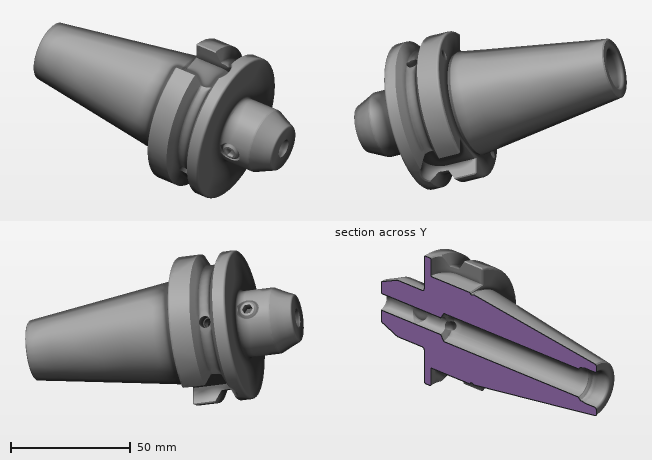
import cadquery as cq
import math

SHANK_LENGTH = 65.4
NOSE_END = 50.0
GAUGE_DIAMETER = 44.45
TAPER_RATIO = 7 / 24
SHANK_END_CHAMFER = 0.5

RELIEF_START = 0.4
RELIEF_FLOOR_START = 1.3
RELIEF_RADIUS = 21.8

FLANGE_BACK = 1.9
FLANGE_FRONT = 27.0
FLANGE_RADIUS = 31.5
FLANGE_FILLET = 1.0
GROOVE_CENTER = 16.6
GROOVE_WIDTH = 10.0
GROOVE_BACK = GROOVE_CENTER - GROOVE_WIDTH / 2
GROOVE_FRONT = GROOVE_CENTER + GROOVE_WIDTH / 2
GROOVE_FLOOR_RADIUS = 26.5
GROOVE_WALL_ANGLE = 30.0
GROOVE_FILLET = 0.8

NOSE_RADIUS = 14.0
NOSE_CONE_START = 41.2
NOSE_CONE_ANGLE = 25.0
NOSE_BASE_FILLET = 1.0
NOSE_EDGE_FILLET = 1.0
NOSE_SHOULDER_FILLET = 1.5

SLOT_WIDTH = 16.1
SLOT_FLOOR = 22.6
SLOT_END = 23.1
SLOT_CHAMFER = 0.5

TOOL_BORE_RADIUS = 4.0
COUNTERBORE_RADIUS = 8.5
COUNTERBORE_DEPTH = 6.5
COUNTERBORE_MOUTH_FILLET = 1.1
LEAD_RADIUS = 8.1
LEAD_START_DEPTH = 7.5
LEAD_END_DEPTH = 8.5
COUNTERSINK_RADIUS = 7.1
THREAD_RADIUS = 6.8
CENTER_BORE_END = 16.3
DRILL_POINT_ANGLE = 118.0

COOLANT_AZIMUTH = 20.0
RADIAL_HOLE_DIAMETER = 4.0
RADIAL_MOUTH_DIAMETER = 5.0
RADIAL_STEP_RADIUS = 20.0
FACE_HOLE_DIAMETER = 4.0
FACE_HOLE_RADIUS = 26.9
FACE_HOLE_ANGLE = 40.0

SCREW_X = 32.0
SCREW_DIRECTION = cq.Vector(0, -1, 0)
SCREW_DIAMETER = 8.0
SCREW_HOLE_COUNTERSINK = 1.0
SCREW_TOP = NOSE_RADIUS
SCREW_CHAMFER = 1.0
SOCKET_ACROSS_FLATS = 4.0
SOCKET_DEPTH = 4.0

TOLERANCE = 0.01


def tan_degrees(angle):
    return math.tan(math.radians(angle))


def taper_radius(x):
    return GAUGE_DIAMETER / 2 + x * TAPER_RATIO / 2


def revolve_about_x(outline):
    return outline.close().revolve(360, (0, 0, 0), (1, 0, 0))


def edges_at(body, x, radius):
    """Select the circular edges around the X axis at this station and radius."""

    def on_circle(edge):
        point = edge.startPoint()
        edge_radius = math.hypot(point.y, point.z)
        return abs(point.x - x) < TOLERANCE and abs(edge_radius - radius) < TOLERANCE

    return body.newObject([edge for edge in body.edges().vals() if on_circle(edge)])


def make_outer_form():
    wall_run = (FLANGE_RADIUS - GROOVE_FLOOR_RADIUS) * tan_degrees(GROOVE_WALL_ANGLE)
    floor_back = GROOVE_BACK + wall_run
    floor_front = GROOVE_FRONT - wall_run
    nose_end_radius = NOSE_RADIUS - (NOSE_END - NOSE_CONE_START) * tan_degrees(NOSE_CONE_ANGLE)

    outline = (
        cq.Workplane("XZ")
        .moveTo(-SHANK_LENGTH, 0)
        .lineTo(-SHANK_LENGTH, taper_radius(-SHANK_LENGTH))
        .lineTo(RELIEF_START, taper_radius(RELIEF_START))
        .lineTo(RELIEF_FLOOR_START, RELIEF_RADIUS)
        .lineTo(FLANGE_BACK, RELIEF_RADIUS)
        .lineTo(FLANGE_BACK, FLANGE_RADIUS)
        .lineTo(GROOVE_BACK, FLANGE_RADIUS)
        .lineTo(floor_back, GROOVE_FLOOR_RADIUS)
        .lineTo(floor_front, GROOVE_FLOOR_RADIUS)
        .lineTo(GROOVE_FRONT, FLANGE_RADIUS)
        .lineTo(FLANGE_FRONT, FLANGE_RADIUS)
        .lineTo(FLANGE_FRONT, NOSE_RADIUS)
        .lineTo(NOSE_CONE_START, NOSE_RADIUS)
        .lineTo(NOSE_END, nose_end_radius)
        .lineTo(NOSE_END, 0)
    )
    body = revolve_about_x(outline)
    body = edges_at(body, -SHANK_LENGTH, taper_radius(-SHANK_LENGTH)).chamfer(SHANK_END_CHAMFER)
    for x, radius, size in (
        (FLANGE_BACK, FLANGE_RADIUS, FLANGE_FILLET),
        (FLANGE_FRONT, FLANGE_RADIUS, FLANGE_FILLET),
        (floor_back, GROOVE_FLOOR_RADIUS, GROOVE_FILLET),
        (floor_front, GROOVE_FLOOR_RADIUS, GROOVE_FILLET),
        (FLANGE_FRONT, NOSE_RADIUS, NOSE_BASE_FILLET),
        (NOSE_CONE_START, NOSE_RADIUS, NOSE_SHOULDER_FILLET),
        (NOSE_END, nose_end_radius, NOSE_EDGE_FILLET),
    ):
        body = edges_at(body, x, radius).fillet(size)
    return body


def make_axial_bore():
    """Counterbore, pull-stud thread bore with its stepped lead-in, drill point and tool bore."""
    point_slope = tan_degrees(DRILL_POINT_ANGLE / 2)
    cone_end = CENTER_BORE_END + (THREAD_RADIUS - TOOL_BORE_RADIUS) / point_slope
    fillet_end = -SHANK_LENGTH + COUNTERBORE_MOUTH_FILLET
    mouth_radius = COUNTERBORE_RADIUS + COUNTERBORE_MOUTH_FILLET
    lead_end = -SHANK_LENGTH + LEAD_END_DEPTH
    countersink_end = lead_end + LEAD_RADIUS - COUNTERSINK_RADIUS
    thread_start = countersink_end + (COUNTERSINK_RADIUS - THREAD_RADIUS) / point_slope
    outline = (
        cq.Workplane("XZ")
        .moveTo(-SHANK_LENGTH, 0)
        .lineTo(-SHANK_LENGTH, mouth_radius)
        .radiusArc((fillet_end, COUNTERBORE_RADIUS), -COUNTERBORE_MOUTH_FILLET)
        .lineTo(-SHANK_LENGTH + COUNTERBORE_DEPTH, COUNTERBORE_RADIUS)
        .lineTo(-SHANK_LENGTH + LEAD_START_DEPTH, LEAD_RADIUS)
        .lineTo(lead_end, LEAD_RADIUS)
        .lineTo(countersink_end, COUNTERSINK_RADIUS)
        .lineTo(thread_start, THREAD_RADIUS)
        .lineTo(CENTER_BORE_END, THREAD_RADIUS)
        .lineTo(cone_end, TOOL_BORE_RADIUS)
        .lineTo(NOSE_END, TOOL_BORE_RADIUS)
        .lineTo(NOSE_END, 0)
    )
    return revolve_about_x(outline)


def is_slot_rim(edge):
    """True for slot edges on the flange back face or on the flange rim."""
    middle = edge.positionAt(0.5)
    inside_slot = (
        abs(middle.y) < SLOT_WIDTH / 2 + TOLERANCE
        and abs(middle.z) > SLOT_FLOOR - TOLERANCE
        and FLANGE_BACK - TOLERANCE < middle.x < SLOT_END
    )
    on_back_face = abs(middle.x - FLANGE_BACK) < TOLERANCE
    on_rim = math.hypot(middle.y, middle.z) > FLANGE_RADIUS - FLANGE_FILLET
    return inside_slot and (on_back_face or on_rim)


def cut_drive_slots(body):
    """Round-ended slots with chamfered edges on the flange back face and rim."""
    half = SLOT_WIDTH / 2
    arc_start = SLOT_END - half
    for side in (1, -1):
        slot = (
            cq.Workplane("XY", origin=(0, 0, side * SLOT_FLOOR))
            .moveTo(0, -half)
            .lineTo(arc_start, -half)
            .threePointArc((SLOT_END, 0), (arc_start, half))
            .lineTo(0, half)
            .close()
            .extrude(side * FLANGE_RADIUS)
        )
        body = body.cut(slot)
    rims = [edge for edge in body.edges().vals() if is_slot_rim(edge)]
    return body.newObject(rims).chamfer(SLOT_CHAMFER)


def cylinder_along(start, direction, diameter, length):
    return cq.Workplane(cq.Solid.makeCylinder(diameter / 2, length, start, direction))


def make_coolant_hole():
    """Stepped radial hole from the groove floor, met by a slanted hole from the flange back face."""
    outward = cq.Vector(0, 1, 0)
    axis_point = cq.Vector(GROOVE_CENTER, 0, 0)
    radial = cylinder_along(axis_point, outward, RADIAL_HOLE_DIAMETER, RADIAL_STEP_RADIUS)
    step_point = axis_point + outward * RADIAL_STEP_RADIUS
    mouth_length = FLANGE_RADIUS - RADIAL_STEP_RADIUS
    mouth = cylinder_along(step_point, outward, RADIAL_MOUTH_DIAMETER, mouth_length)

    slant = math.radians(FACE_HOLE_ANGLE)
    inward = cq.Vector(math.cos(slant), -math.sin(slant), 0)
    run_in = FACE_HOLE_DIAMETER
    start = cq.Vector(FLANGE_BACK, FACE_HOLE_RADIUS, 0) - inward * run_in
    length = run_in + (GROOVE_CENTER - FLANGE_BACK) / math.cos(slant)
    face_hole = cylinder_along(start, inward, FACE_HOLE_DIAMETER, length)
    return radial.union(mouth).union(face_hole)


def make_screw_hole():
    """Hole for the clamping screw with a 45 degree countersink at the nose surface."""
    radius = SCREW_DIAMETER / 2
    inward_end = cq.Vector(SCREW_X, 0, 0)
    countersink_start = cq.Vector(SCREW_X, SCREW_HOLE_COUNTERSINK - NOSE_RADIUS, 0)
    hole = cylinder_along(inward_end, SCREW_DIRECTION, SCREW_DIAMETER, NOSE_RADIUS)
    countersink = cq.Solid.makeCone(
        radius, radius + SCREW_HOLE_COUNTERSINK, SCREW_HOLE_COUNTERSINK, countersink_start, SCREW_DIRECTION
    )
    return hole.union(cq.Workplane(countersink))


def make_holder():
    body = cut_drive_slots(make_outer_form())
    body = body.cut(make_axial_bore())
    for angle in (0, 180):
        coolant_hole = make_coolant_hole().rotate((0, 0, 0), (1, 0, 0), COOLANT_AZIMUTH + angle)
        body = body.cut(coolant_hole)
    return body.cut(make_screw_hole())


def make_clamp_screw():
    """Set screw reaching from the tool bore wall to the nose surface, with a hexagon socket."""
    corner_diameter = SOCKET_ACROSS_FLATS / math.cos(math.pi / 6)
    screw = (
        cq.Workplane("XZ", origin=(SCREW_X, -TOOL_BORE_RADIUS, 0))
        .circle(SCREW_DIAMETER / 2)
        .extrude(SCREW_TOP - TOOL_BORE_RADIUS)
        .faces("<Y")
        .chamfer(SCREW_CHAMFER)
    )
    return screw.faces("<Y").workplane().polygon(6, corner_diameter).cutBlind(-SOCKET_DEPTH)


holder = make_holder()
clamp_screw = make_clamp_screw()
result = cq.Compound.makeCompound([holder.val(), clamp_screw.val()])